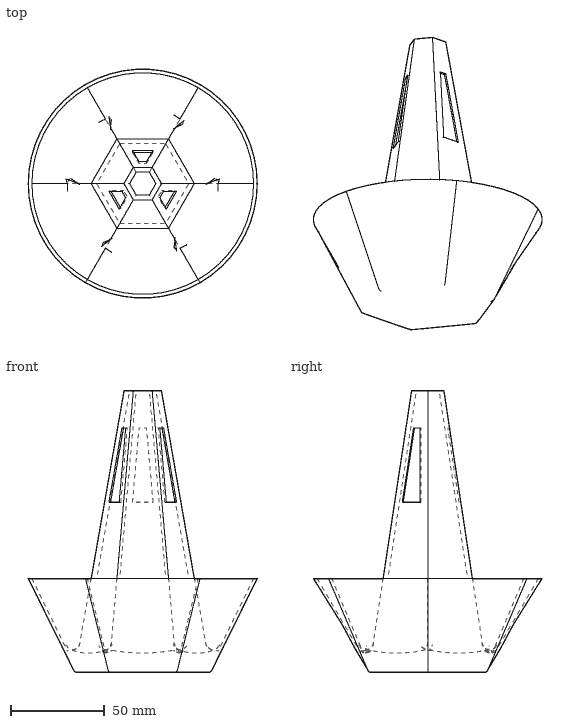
import cadquery as cq
import math

TOTAL_HEIGHT = 150.0
RIM_HEIGHT = 50.0
VALLEY_HEIGHT = 2.5

TOP_RADIUS = 10.0
JOINT_RADIUS = 27.5
TAPER = (JOINT_RADIUS - TOP_RADIUS) / (TOTAL_HEIGHT - RIM_HEIGHT)
TOWER_WALL = 3.0
SIDES = 6
APOTHEM_RATIO = math.cos(math.pi / SIDES)
FACE_TILT = math.atan(TAPER * APOTHEM_RATIO)

FOOT_RADIUS = TOP_RADIUS + TAPER * TOTAL_HEIGHT
FOOT_FILLET = 2.0
RIM_RADIUS = 61.0
RIM_WALL = 2.0
VALLEY_FILLET = 4.0

PANEL_ANGLES = (90, 210, 330)
PANEL_DROP = 20.0
PANEL_LENGTH = 40.0
PANEL_TOP_WIDTH = 4.0
PANEL_BOTTOM_WIDTH = PANEL_TOP_WIDTH + PANEL_LENGTH * math.cos(FACE_TILT) * TAPER
PANEL_DEPTH = 1.0


def cone_radius(height):
    """Corner radius of the central cone at a height."""
    return TOP_RADIUS + TAPER * (TOTAL_HEIGHT - height)


def hexagon(radius, height):
    """Sketch of a hexagon with two corners on the X axis."""
    return cq.Workplane("XY", origin=(0, 0, height)).polygon(SIDES, 2 * radius)


def hex_cone(bottom, top, inset=0.0):
    """Length of the central cone, its corners moved in by the inset."""
    lower = hexagon(cone_radius(bottom) - inset, bottom)
    return lower.workplane(offset=top - bottom).polygon(SIDES, 2 * (cone_radius(top) - inset)).loft(ruled=True)


def hex_to_round(hex_radius, bottom, round_radius):
    """Flaring solid from a hexagon up to a circle at the rim."""
    lower = hexagon(hex_radius, bottom)
    return lower.workplane(offset=RIM_HEIGHT - bottom).circle(round_radius).loft()


def make_base():
    """Bowl with the lower, solid part of the central cone rising from its middle."""
    outside = hex_to_round(FOOT_RADIUS, 0, RIM_RADIUS).faces("<Z").edges().fillet(FOOT_FILLET)
    inside = hex_to_round(cone_radius(VALLEY_HEIGHT), VALLEY_HEIGHT, RIM_RADIUS - RIM_WALL)
    trough = inside.cut(hex_cone(VALLEY_HEIGHT, RIM_HEIGHT))
    bowl = outside.cut(trough)

    reach = RIM_RADIUS
    tolerance = 0.1
    valley = cq.selectors.BoxSelector(
        (-reach, -reach, VALLEY_HEIGHT - tolerance),
        (reach, reach, VALLEY_HEIGHT + tolerance),
    )
    return bowl.edges(valley).fillet(VALLEY_FILLET)


def make_panel_cutter(angle):
    """Cutter for one panel, drawn down the middle of a face and sunk square to it."""
    face_plane = cq.Plane(
        origin=(TOP_RADIUS * APOTHEM_RATIO, 0, TOTAL_HEIGHT),
        xDir=(0, 1, 0),
        normal=(math.cos(FACE_TILT), 0, math.sin(FACE_TILT)),
    )
    panel_end = PANEL_DROP + PANEL_LENGTH
    outline = [
        (-PANEL_TOP_WIDTH / 2, -PANEL_DROP),
        (PANEL_TOP_WIDTH / 2, -PANEL_DROP),
        (PANEL_BOTTOM_WIDTH / 2, -panel_end),
        (-PANEL_BOTTOM_WIDTH / 2, -panel_end),
    ]
    cutter = cq.Workplane(face_plane).polyline(outline).close().extrude(-PANEL_DEPTH)
    return cutter.rotate((0, 0, 0), (0, 0, 1), angle)


def make_tower():
    """Hollow upper part of the central cone, standing on the base."""
    bore = hex_cone(RIM_HEIGHT, TOTAL_HEIGHT, inset=TOWER_WALL)
    tower = hex_cone(RIM_HEIGHT, TOTAL_HEIGHT).cut(bore)
    for angle in PANEL_ANGLES:
        tower = tower.cut(make_panel_cutter(angle))
    return tower


base = make_base()
tower = make_tower()
result = cq.Compound.makeCompound([base.solids().val(), tower.solids().val()])